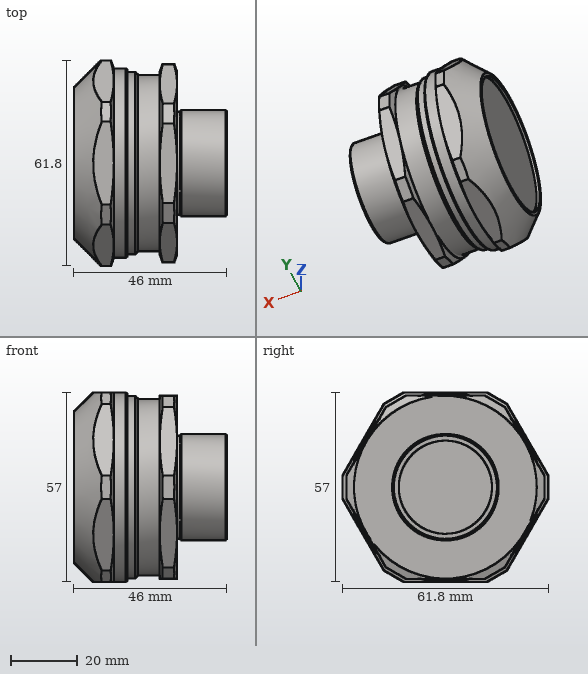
import cadquery as cq
import math


FRONT_FLATS = 57.0
FRONT_CORNER_FLATS = 61.82
FRONT_FACE_DIA = 45.4
FRONT_REAR_X = 12.0
FRONT_CHAMFER_ANGLE = 45.0
RECESS_DIA = 43.2
RECESS_DEPTH = 1.0

RIM_DIA = FRONT_FLATS
RIM_END_X = 16.05
RIM_CHAMFER = 0.5
SHOULDER_DIA = 54.9
SHOULDER_END_X = 19.25
BODY_DIA = 53.1
SHOULDER_CHAMFER = (SHOULDER_DIA - BODY_DIA) / 2

REAR_FLATS = 55.0
REAR_CORNER_FLATS = 59.5
REAR_START_X = 25.8
REAR_END_X = 31.0
REAR_FACE_DIA = 54.9

SPIGOT_DIA = 32.0
SPIGOT_START_X = 31.9
SPIGOT_END_X = 45.98
SPIGOT_CHAMFER = 0.5
UNDERCUT_DIA = 31.0
BORE_DIA = 28.0
BORE_FLOOR_X = 32.0

ROOT_FILLET = 0.2

CORNER_CHAMFER_ANGLE = 20.0


def cone_length(small_dia, large_dia, angle):
    """Axial length of a cone whose side rises at `angle` from the transverse plane."""
    return (large_dia - small_dia) / 2 * math.tan(math.radians(angle))


def cylinder(diameter, start_x, end_x):
    """Round bar along X."""
    return cq.Workplane("YZ").workplane(offset=start_x).circle(diameter / 2).extrude(end_x - start_x)


def hexagon_prism(flats, start_x, end_x, turn=0):
    """Hexagonal bar along X with two flats square to Z before it is turned about its axis."""
    across_corners = flats / math.cos(math.radians(30))
    bar = cq.Workplane("YZ").workplane(offset=start_x).polygon(6, across_corners).extrude(end_x - start_x)
    return bar.rotate((0, 0, 0), (1, 0, 0), turn)


def hexagon_collar(flats, corner_flats, start_x, end_x, start_dia, end_dia, start_angle, end_angle):
    """Hexagon with its corners cut flat and a conical chamfer towards each face."""
    prism = hexagon_prism(flats, start_x, end_x).intersect(hexagon_prism(corner_flats, start_x, end_x, 30))
    clear_dia = flats / math.cos(math.radians(30))
    envelope = (
        cq.Workplane("XY")
        .moveTo(start_x, 0)
        .lineTo(start_x, start_dia / 2)
        .lineTo(start_x + cone_length(start_dia, clear_dia, start_angle), clear_dia / 2)
        .lineTo(end_x - cone_length(end_dia, clear_dia, end_angle), clear_dia / 2)
        .lineTo(end_x, end_dia / 2)
        .lineTo(end_x, 0)
        .close()
        .revolve(360, (0, 0, 0), (1, 0, 0))
    )
    return prism.intersect(envelope)


def front_collar():
    collar = hexagon_collar(
        FRONT_FLATS,
        FRONT_CORNER_FLATS,
        0,
        FRONT_REAR_X,
        FRONT_FACE_DIA,
        RIM_DIA,
        FRONT_CHAMFER_ANGLE,
        CORNER_CHAMFER_ANGLE,
    )
    return collar.cut(cylinder(RECESS_DIA, 0, RECESS_DEPTH))


def stepped_body():
    rim = cylinder(RIM_DIA, FRONT_REAR_X, RIM_END_X).faces(">X").chamfer(RIM_CHAMFER)
    shoulder = cylinder(SHOULDER_DIA, RIM_END_X, SHOULDER_END_X).faces(">X").chamfer(SHOULDER_CHAMFER)
    body = cylinder(BODY_DIA, SHOULDER_END_X, REAR_START_X)
    return rim.union(shoulder).union(body)


def rear_collar():
    return hexagon_collar(
        REAR_FLATS,
        REAR_CORNER_FLATS,
        REAR_START_X,
        REAR_END_X,
        REAR_FACE_DIA,
        REAR_FACE_DIA,
        CORNER_CHAMFER_ANGLE,
        CORNER_CHAMFER_ANGLE,
    )


def spigot():
    undercut = cylinder(UNDERCUT_DIA, REAR_END_X, SPIGOT_START_X)
    barrel = cylinder(SPIGOT_DIA, SPIGOT_START_X, SPIGOT_END_X).faces("<X or >X").chamfer(SPIGOT_CHAMFER)
    return undercut.union(barrel).cut(cylinder(BORE_DIA, BORE_FLOOR_X, SPIGOT_END_X))


def fillet_roots(part, diameter, start_x, end_x):
    """Fillet the inner corners at both ends of the round stretch between two X positions."""
    roots = part.edges("%CIRCLE").filter(
        lambda edge: math.isclose(edge.radius(), diameter / 2, abs_tol=0.001)
        and start_x - ROOT_FILLET < edge.Center().x < end_x + ROOT_FILLET
    )
    return roots.fillet(ROOT_FILLET)


plug = front_collar().union(stepped_body()).union(rear_collar()).union(spigot())
plug = fillet_roots(plug, BODY_DIA, SHOULDER_END_X, REAR_START_X)
result = fillet_roots(plug, UNDERCUT_DIA, REAR_END_X, SPIGOT_START_X)